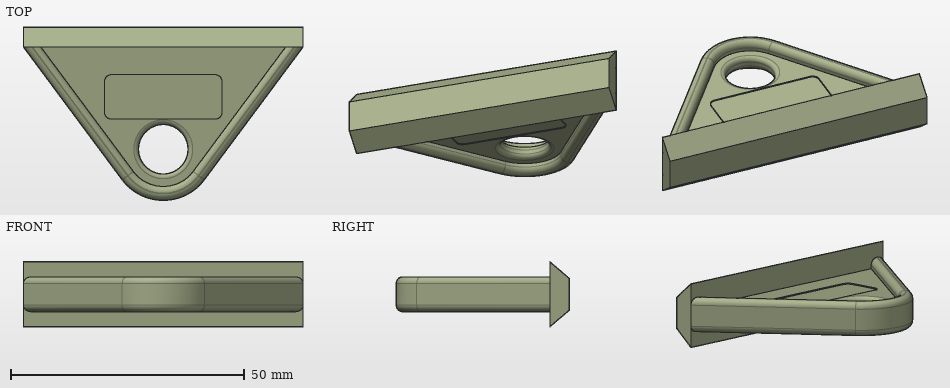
import cadquery as cq
import math

length = 60.0
total_depth = 37.15
flange_depth = 4.2
flange_height = 14.0
flange_back_height = 6.85

bead_height = 7.5
bead_width = 3.0
bead_round = 1.45
floor_thickness = 3.0
nose_radius = 11.0
nose_y = nose_radius - total_depth

hole_radius = 5.3
hole_round = 1.0

panel_length = 25.2
panel_width = 9.55
panel_y = -14.95
panel_corner = 1.5
panel_depth = 0.25

corner_rise = -flange_depth - nose_y
corner_distance = math.hypot(length / 2, corner_rise)
normal_angle = math.atan2(corner_rise, length / 2) - math.acos(nose_radius / corner_distance)


def web_outline(inset, back_y):
    """Closed V outline, offset inward by inset and cut off at back_y."""
    radius = nose_radius - inset
    tangent_x = radius * math.cos(normal_angle)
    tangent_y = nose_y + radius * math.sin(normal_angle)
    back_x = tangent_x - (back_y - tangent_y) * math.tan(normal_angle)
    return (
        cq.Workplane("XY")
        .moveTo(-back_x, back_y)
        .lineTo(-tangent_x, tangent_y)
        .threePointArc((0, nose_y - radius), (tangent_x, tangent_y))
        .lineTo(back_x, back_y)
        .close()
    )


def make_flange():
    front = flange_height / 2
    back = flange_back_height / 2
    section = [(-flange_depth, -front), (0, -back), (0, back), (-flange_depth, front)]
    return cq.Workplane("YZ").polyline(section).close().extrude(length / 2, both=True)


def make_bead():
    outer = web_outline(0, -flange_depth).extrude(bead_height / 2, both=True)
    opening = web_outline(bead_width, 0).extrude(bead_height, both=True)
    bead = outer.cut(opening)
    return bead.faces("|Z").edges("not(|X)").fillet(bead_round)


def make_floor():
    web = web_outline(bead_width / 2, -flange_depth).extrude(floor_thickness / 2, both=True)
    hole = cq.Workplane("XY").center(0, nose_y).circle(hole_radius).extrude(floor_thickness, both=True)
    web = web.cut(hole)
    return web.edges("%CIRCLE").edges(cq.selectors.RadiusNthSelector(0)).fillet(hole_round)


def make_panels():
    panel_floor = floor_thickness - 2 * panel_depth
    outline = cq.Workplane("XY").center(0, panel_y).rect(panel_length, panel_width)
    block = outline.extrude(floor_thickness, both=True).edges("|Z").fillet(panel_corner)
    core = cq.Workplane("XY").box(length, 2 * total_depth, panel_floor)
    return block.cut(core)


floor = make_floor().cut(make_panels())
result = make_flange().union(make_bead()).union(floor)